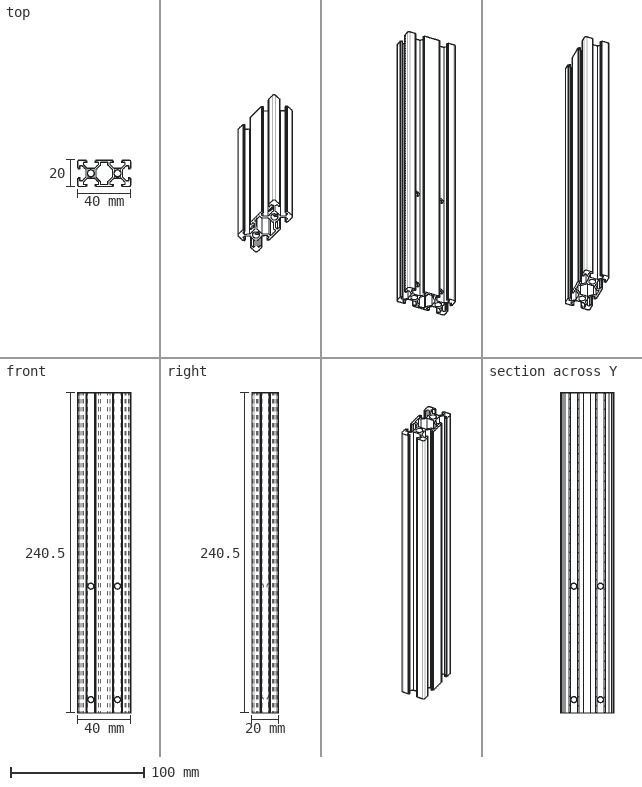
import cadquery as cq

length = 240.5
width = 40.0
depth = 20.0

cell = depth
cell_center_x = width / 2 - cell / 2
corner_radius = 1.5

slot_mouth = 7.7
lip_step_width = 0.77
lip_step_depth = 0.6
slot_opening = slot_mouth - 2 * lip_step_width
slot_inner_width = 11.0
lip_thickness = 1.7

core_size = 7.7
rib_thickness = 1.5

hollow_neck_width = 5.3

bore_diameter = 5.0
cross_hole_diameter = 4.3
cross_hole_heights = (10.0, 95.2)

floor_height = core_size / 2
lip_height = cell / 2 - lip_thickness
step_height = cell / 2 - lip_step_depth

rib_offset = rib_thickness / 2**0.5


def slot():
    """Slot opening toward +Y, for a cell centred on the origin."""
    half_floor = floor_height - rib_offset
    half_inner = slot_inner_width / 2
    half_opening = slot_opening / 2
    half_mouth = slot_mouth / 2
    right_side = [
        (half_floor, floor_height),
        (half_inner, half_inner + rib_offset),
        (half_inner, lip_height),
        (half_opening, lip_height),
        (half_opening, step_height),
        (half_mouth, step_height),
        (half_mouth, cell / 2),
    ]
    left_side = [(-x, y) for x, y in reversed(right_side)]
    return cq.Workplane("XY").polyline(right_side + left_side).close().extrude(length)


def cut_slots(body):
    """Cut the slots in both long faces of each cell and in the two end faces."""
    for side in (-1, 1):
        end_angle = -90 * side
        for angle in (0, 180, end_angle):
            turned = slot().rotate((0, 0, 0), (0, 0, 1), angle)
            body = body.cut(turned.translate((side * cell_center_x, 0, 0)))
    return body


def center_hollow():
    """Closed cavity bounded by the two cores, their ribs and the long faces."""
    core_wall_x = cell_center_x - core_size / 2
    neck_x = hollow_neck_width / 2
    rib_face_sum = cell_center_x - rib_offset
    upper_right = [
        (core_wall_x, rib_face_sum - core_wall_x),
        (neck_x, rib_face_sum - neck_x),
        (neck_x, lip_height),
    ]
    upper = upper_right + [(-x, y) for x, y in reversed(upper_right)]
    lower = [(-x, -y) for x, y in upper]
    return cq.Workplane("XY").polyline(upper + lower).close().extrude(length)


def core_bores():
    """Round bore running the full length of each core."""
    centers = [(-cell_center_x, 0), (cell_center_x, 0)]
    return cq.Workplane("XY").pushPoints(centers).circle(bore_diameter / 2).extrude(length)


def cross_holes():
    """Holes right through the bar along Y, one per cell at each height."""
    centers = [(x, z) for x in (-cell_center_x, cell_center_x) for z in cross_hole_heights]
    holes = cq.Workplane("XZ").pushPoints(centers).circle(cross_hole_diameter / 2)
    return holes.extrude(depth / 2, both=True)


bar = cq.Workplane("XY").rect(width, depth).extrude(length)
bar = bar.edges("|Z").fillet(corner_radius)
bar = cut_slots(bar)

result = bar.cut(center_hollow()).cut(core_bores()).cut(cross_holes())